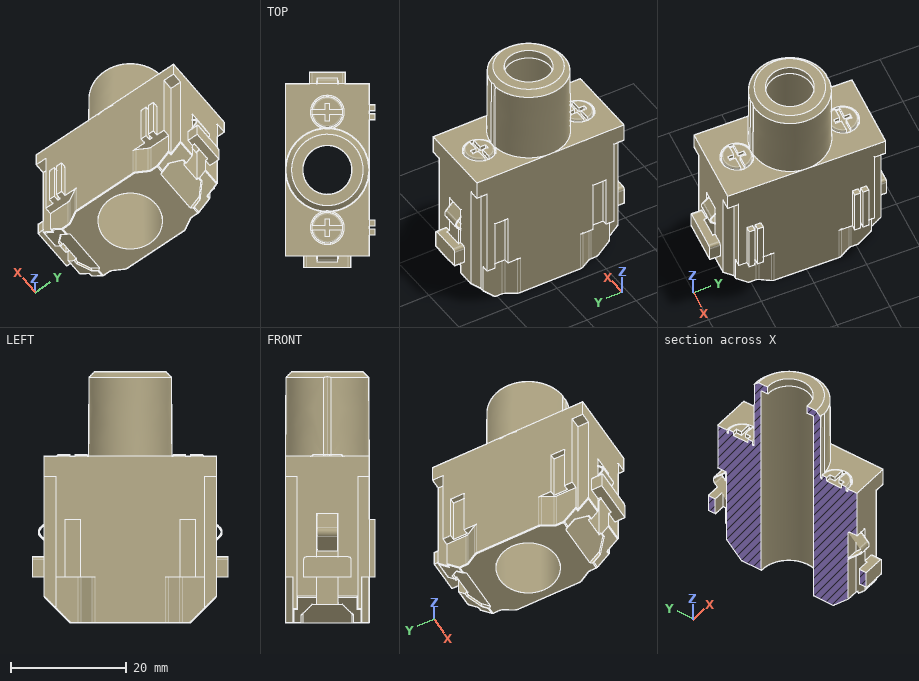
import cadquery as cq
import math

BODY_WIDTH = 14.6
BODY_LENGTH = 30.0
BODY_TOP = 29.0
END_SLOPE_LEG = 4.55
UNDERSIDE_CHAMFER = 0.15
HALF_WIDTH = BODY_WIDTH / 2
HALF_LENGTH = BODY_LENGTH / 2

NOTCH_X = 2.0
NOTCH_Y = 2.1
FLANGE_BOTTOM = 25.5

FOOT_TOP = 8.0
FOOT_INSET = 1.35
FOOT_RAMP_START = 6.42
FOOT_RAMP_ANGLE = 30
FOOT_ROUND = 1.0

OVERALL_HEIGHT = 43.7
SLEEVE_BASE_RADIUS = HALF_WIDTH
SLEEVE_TOP_RADIUS = 7.2
SLEEVE_CHAMFER = 1.0
SLEEVE_ROOT = 2.2
BORE_RADIUS = 4.25
LIP_DEPTH = 1.7
INNER_BORE_RADIUS = 5.6
GROOVE_WIDTH = 1.65
GROOVE_DEPTH = 0.15

SCREW_SPACING = 20.1
SCREW_RADIUS = 2.65
SCREW_POCKET_RADIUS = 2.93
SCREW_POCKET_DEPTH = 0.65
SCREW_RISE = 0.25
SCREW_ROUND = 0.2
DRIVE_WIDTH = 0.85
DRIVE_CROSS_LENGTH = 3.05
DRIVE_DEPTH = 0.85

CODING_TOP = 18.05
CODING_DEPTH = 1.0
CODING_CENTRE_Y = 10.0
CODING_WIDTH = 2.65
RIB_WIDTH = 1.1

LATCH_REACH = 2.0
LATCH_HEIGHT = 3.55
LATCH_ROUND = 0.5
LATCH_BACK_GROOVE = 0.5
FRONT_LATCH_WIDTH = 8.2
BACK_LATCH_WIDTH = 6.3

SLOT_WIDTH = 3.75
SLOT_DEPTH = 1.9
SLOT_TOP = 19.0
SPRING_WIDTH = 3.6
SPRING_THICKNESS = 0.2
SPRING_CENTRE_Z = 15.8
SPRING_APEX_REACH = 1.45
SPRING_BEND_RADIUS = 1.1
SPRING_EMBED = 0.15

RECESS_DEPTH = 0.4
RECESS_TOP_WIDTH = 5.3
RECESS_WIDTH = 9.1
RECESS_SIDE_BEVEL = 0.3
RECESS_TOP_Z = 3.25
RECESS_CORNER_Z = 1.35


def block(x_range, y_range, z_range):
    """Box spanning the given (low, high) ranges."""
    (x0, x1), (y0, y1), (z0, z1) = x_range, y_range, z_range
    return cq.Workplane("XY").box(x1 - x0, y1 - y0, z1 - z0, centered=False).translate((x0, y0, z0))


def on_both_ends(front_shape):
    """A shape at the -Y end together with its mirror image at the +Y end."""
    return front_shape.union(front_shape.mirror("XZ"))


def make_foot():
    """Lower part, full width in the middle and narrowed towards both ends."""
    inner_x = HALF_WIDTH - FOOT_INSET
    ramp_end = FOOT_RAMP_START + FOOT_INSET / math.tan(math.radians(FOOT_RAMP_ANGLE))
    end_y = HALF_LENGTH + FOOT_ROUND
    quarter = [(HALF_WIDTH, FOOT_RAMP_START), (inner_x, ramp_end), (inner_x, end_y)]
    right_side = [(x, -y) for x, y in reversed(quarter)] + quarter
    left_side = [(-x, -y) for x, y in right_side]
    foot = cq.Workplane("XY").polyline(right_side + left_side).close().extrude(FOOT_TOP)
    return foot.edges("|Z").fillet(FOOT_ROUND)


def make_body():
    """Block with narrowed foot, sloped ends and notched corners."""
    upper = block((-HALF_WIDTH, HALF_WIDTH), (-HALF_LENGTH, HALF_LENGTH), (FOOT_TOP, BODY_TOP))
    slope_start = HALF_LENGTH - END_SLOPE_LEG
    side_profile = (
        cq.Workplane("YZ")
        .polyline([
            (-slope_start, 0),
            (slope_start, 0),
            (HALF_LENGTH, END_SLOPE_LEG),
            (HALF_LENGTH, BODY_TOP),
            (-HALF_LENGTH, BODY_TOP),
            (-HALF_LENGTH, END_SLOPE_LEG),
        ])
        .close()
        .extrude(HALF_WIDTH, both=True)
    )
    body = upper.union(make_foot()).intersect(side_profile)
    for x in (-HALF_WIDTH, HALF_WIDTH):
        for y in (-HALF_LENGTH, HALF_LENGTH):
            notch = cq.Workplane("XY").center(x, y).rect(2 * NOTCH_X, 2 * NOTCH_Y).extrude(FLANGE_BOTTOM)
            body = body.cut(notch)
    underside = body.faces("<Z").edges()
    front_slope = body.faces("<(0,1,1)").edges()
    back_slope = body.faces("<(0,-1,1)").edges()
    return underside.add(front_slope).add(back_slope).chamfer(UNDERSIDE_CHAMFER)


def make_sleeve():
    """Tapered sleeve with a chamfered rim and a shallow V groove at each end side."""
    chamfer_z = OVERALL_HEIGHT - SLEEVE_CHAMFER
    root_z = BODY_TOP - SLEEVE_ROOT
    sleeve = (
        cq.Workplane("XZ")
        .polyline([
            (0, root_z),
            (SLEEVE_BASE_RADIUS, root_z),
            (SLEEVE_BASE_RADIUS, BODY_TOP),
            (SLEEVE_TOP_RADIUS, chamfer_z),
            (SLEEVE_TOP_RADIUS - SLEEVE_CHAMFER, OVERALL_HEIGHT),
            (0, OVERALL_HEIGHT),
        ])
        .close()
        .revolve(360, (0, 0, 0), (0, 1, 0))
    )
    groove_bottom_y = -SLEEVE_BASE_RADIUS + GROOVE_DEPTH
    groove_outer_y = groove_bottom_y - 2 * GROOVE_DEPTH
    taper_angle = math.degrees(math.atan2(SLEEVE_BASE_RADIUS - SLEEVE_TOP_RADIUS, chamfer_z - BODY_TOP))
    groove = (
        cq.Workplane("XY", origin=(0, 0, root_z))
        .polyline([
            (0, groove_bottom_y),
            (GROOVE_WIDTH, groove_outer_y),
            (-GROOVE_WIDTH, groove_outer_y),
        ])
        .close()
        .extrude(OVERALL_HEIGHT - root_z)
        .rotate((0, groove_bottom_y, BODY_TOP), (1, groove_bottom_y, BODY_TOP), -taper_angle)
    )
    return sleeve.cut(on_both_ends(groove))


def make_bore():
    """Through bore, wider below the lip at the sleeve mouth."""
    mouth = cq.Workplane("XY").circle(BORE_RADIUS).extrude(OVERALL_HEIGHT)
    inner = cq.Workplane("XY").circle(INNER_BORE_RADIUS).extrude(OVERALL_HEIGHT - LIP_DEPTH)
    return mouth.union(inner)


def make_screw():
    """Screw head with a long slot crossed by a short one."""
    pocket_floor = BODY_TOP - SCREW_POCKET_DEPTH
    head_top = BODY_TOP + SCREW_RISE
    head = (
        cq.Workplane("XY", origin=(0, 0, pocket_floor))
        .circle(SCREW_RADIUS)
        .extrude(head_top - pocket_floor)
        .faces(">Z")
        .edges()
        .fillet(SCREW_ROUND)
    )
    for size in ((2 * SCREW_RADIUS, DRIVE_WIDTH), (DRIVE_WIDTH, DRIVE_CROSS_LENGTH)):
        slot = cq.Workplane("XY", origin=(0, 0, head_top - DRIVE_DEPTH)).rect(*size).extrude(DRIVE_DEPTH)
        head = head.cut(slot)
    return head


def make_slot(reach_outside=0):
    """Slot down the -Y end, optionally reaching out past the end face."""
    return block(
        (-SLOT_WIDTH / 2, SLOT_WIDTH / 2),
        (-HALF_LENGTH - reach_outside, -HALF_LENGTH + SLOT_DEPTH),
        (0, SLOT_TOP),
    )


def make_latch(width):
    """Latch block on the -Y end with rounded upper corners and the slot grooved into its back."""
    latch = block(
        (-width / 2, width / 2),
        (-HALF_LENGTH - LATCH_REACH, -HALF_LENGTH + SLOT_DEPTH / 2),
        (FOOT_TOP, FOOT_TOP + LATCH_HEIGHT),
    )
    latch = latch.edges("|Y and >Z").fillet(LATCH_ROUND)
    return latch.cut(make_slot(LATCH_BACK_GROOVE))


def chevron(apex_y, bend_radius, far_y):
    """Right-angled wedge pointing to -Y with a rounded apex."""
    reach = far_y - apex_y
    wedge = (
        cq.Workplane("YZ")
        .polyline([
            (apex_y, SPRING_CENTRE_Z),
            (far_y, SPRING_CENTRE_Z + reach),
            (far_y, SPRING_CENTRE_Z - reach),
        ])
        .close()
        .extrude(SPRING_WIDTH / 2, both=True)
    )
    return wedge.edges("|X and <Y").fillet(bend_radius)


def make_spring():
    """Bent sheet spring bulging out of the -Y slot."""
    apex_y = -HALF_LENGTH - SPRING_APEX_REACH
    far_y = -HALF_LENGTH + SLOT_DEPTH + SPRING_EMBED
    outer = chevron(apex_y, SPRING_BEND_RADIUS, far_y)
    inner_apex_y = apex_y + SPRING_THICKNESS * math.sqrt(2)
    inner = chevron(inner_apex_y, SPRING_BEND_RADIUS - SPRING_THICKNESS, far_y)
    return outer.cut(inner)


def make_marking_recess():
    """Shallow recess cut square to the -Y slope, narrowing upwards, with bevelled sides."""
    slope_edge_y = -HALF_LENGTH + END_SLOPE_LEG
    up_slope = math.sqrt(2)
    plane = cq.Plane(origin=(0, slope_edge_y, 0), xDir=(1, 0, 0), normal=(0, -1, -1))
    outline = [
        (RECESS_WIDTH / 2, -RECESS_DEPTH),
        (RECESS_WIDTH / 2, RECESS_CORNER_Z * up_slope),
        (RECESS_TOP_WIDTH / 2, RECESS_TOP_Z * up_slope),
    ]
    outline += [(-x, y) for x, y in reversed(outline)]
    recess = cq.Workplane(plane).polyline(outline).close().extrude(-RECESS_DEPTH)
    floor_sides = recess.faces(">(0,1,1)").edges(cq.selectors.ParallelDirSelector(cq.Vector(0, -1, 1)))
    return floor_sides.chamfer(RECESS_SIDE_BEVEL)


body = make_body()

for centre_y in (-CODING_CENTRE_Y, CODING_CENTRE_Y):
    low_y = centre_y - CODING_WIDTH / 2
    high_y = centre_y + CODING_WIDTH / 2
    coding_z = (FOOT_TOP, CODING_TOP)
    body = body.cut(block((-HALF_WIDTH, -HALF_WIDTH + CODING_DEPTH), (low_y, high_y), coding_z))
    rib_x = (HALF_WIDTH - CODING_DEPTH, HALF_WIDTH + CODING_DEPTH)
    body = body.union(block(rib_x, (low_y, low_y + RIB_WIDTH), coding_z))
    body = body.union(block(rib_x, (high_y - RIB_WIDTH, high_y), coding_z))

body = body.cut(on_both_ends(make_slot()))
body = body.cut(on_both_ends(make_marking_recess()))
body = body.union(on_both_ends(make_spring()))
body = body.union(make_latch(FRONT_LATCH_WIDTH))
body = body.union(make_latch(BACK_LATCH_WIDTH).mirror("XZ"))

screw_points = [(0, -SCREW_SPACING / 2), (0, SCREW_SPACING / 2)]
pockets = (
    cq.Workplane("XY", origin=(0, 0, BODY_TOP))
    .pushPoints(screw_points)
    .circle(SCREW_POCKET_RADIUS)
    .extrude(-SCREW_POCKET_DEPTH)
)
body = body.cut(pockets)
for x, y in screw_points:
    body = body.union(make_screw().translate((x, y, 0)))

result = body.union(make_sleeve()).cut(make_bore())